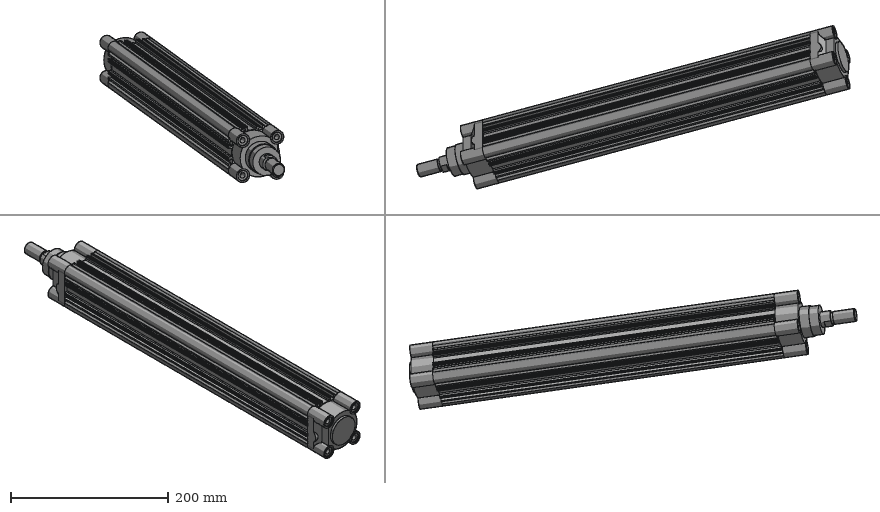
import cadquery as cq
import math

total_length = 579.0
boss_length = 3.2
cap_length = 30.0
tube_length = 446.5
guide_length = 12.0
nose_length = 12.0
collar_length = 13.5
relief_length = 3.0

tube_start = boss_length + cap_length
tube_end = tube_start + tube_length
front_face = tube_end + cap_length
nose_end = front_face + guide_length + nose_length
thread_start = nose_end + collar_length + relief_length

width = 64.0
half_width = width / 2
lobe_radius = 18.0 / 2
lobe_offset = half_width - lobe_radius
boss_radius = 40.0 / 2

cap_bulge = 54.0 / 2
cap_bulge_edge = 24.0
cap_bulge_half = 13.5
lobe_lead = 0.3
counterbore_radius = 13.5 / 2
counterbore_depth = 2.0
screw_hole_radius = 7.0 / 2
screw_hole_depth = 14.5
drill_point_angle = 118.0

pad_floor = 24.0
pad_slope_angle = 48.3
pad_crest = 19.0
port_boss_radius = 10.5
port_boss_z = -5.0
port_boss_lead = 4.0

nose_radius = 37.5 / 2

v_groove_middle = 19.0
v_groove_depth = 2.6
slot_lip = 14.5
slot_depth = 5.5
rib_outer = 10.0
rib_inner = 6.0
prong_thickness = 0.85
notch_depth = 1.0
crown_half_width = 4.9
wall_depth = 4.9
crown_rise = 0.5

rod_radius = 20.0 / 2
rod_seat_depth = 35.0
flat_offset = 17.0 / 2
flat_start = 4.5
relief_radius = 14.0 / 2
thread_radius = 17.0 / 2
thread_chamfer = 1.0


def x_cylinder(start, length, radius):
    """Cylinder on the X axis."""
    return cq.Workplane("YZ").workplane(offset=start).circle(radius).extrude(length)


def at_lobes(workplane):
    """The four lobe centres."""
    return workplane.rect(2 * lobe_offset, 2 * lobe_offset, forConstruction=True).vertices()


def cap_core():
    """Block with three bulged sides and a flat +Y side."""
    low = cap_bulge_edge
    half = cap_bulge_half
    top = cap_bulge
    return (
        cq.Workplane("YZ").workplane(offset=boss_length + lobe_lead)
        .moveTo(-half, low).threePointArc((0, top), (half, low))
        .lineTo(pad_floor, half).lineTo(pad_floor, -half)
        .lineTo(half, -low).threePointArc((0, -top), (-half, -low))
        .lineTo(-low, -half).threePointArc((-top, 0), (-low, half))
        .close().extrude(cap_length - lobe_lead)
    )


def port_pad():
    """Pad flush with the lobes, with a sloped end and a round port boss."""
    crest_x = boss_length + pad_crest
    rise = half_width - pad_floor
    foot_x = crest_x - rise / math.tan(math.radians(pad_slope_angle))
    pad = (
        cq.Workplane("XY").workplane(offset=-lobe_offset)
        .moveTo(foot_x, pad_floor).lineTo(crest_x, half_width)
        .lineTo(tube_start, half_width).lineTo(tube_start, pad_floor)
        .close().extrude(2 * lobe_offset)
    )
    boss_x = crest_x - port_boss_lead + port_boss_radius
    boss = (
        cq.Workplane("XZ", origin=(boss_x, half_width, port_boss_z))
        .circle(port_boss_radius).extrude(rise)
    )
    beyond_cap = cq.Workplane("XY").box(width, width, width).translate((tube_start + half_width, 0, 0))
    return pad.union(boss.cut(beyond_cap))


def screw_hole_cutter():
    """Counterbored blind hole with a drill point, along the X axis from the origin."""
    point = screw_hole_radius / math.tan(math.radians(drill_point_angle / 2))
    return (
        cq.Workplane("XY")
        .lineTo(0, counterbore_radius)
        .lineTo(counterbore_depth, counterbore_radius)
        .lineTo(counterbore_depth, screw_hole_radius)
        .lineTo(screw_hole_depth, screw_hole_radius)
        .lineTo(screw_hole_depth + point, 0)
        .close().revolve(360, (0, 0, 0), (1, 0, 0))
    )


def end_cap():
    """Cap body as it stands at the rear end, without boss or nose."""
    lobes = at_lobes(cq.Workplane("YZ").workplane(offset=boss_length)).circle(lobe_radius).extrude(cap_length)
    cap = cap_core().union(lobes).union(port_pad())
    hole = screw_hole_cutter()
    for y in (-lobe_offset, lobe_offset):
        for z in (-lobe_offset, lobe_offset):
            cap = cap.cut(hole.translate((boss_length, y, z)))
    return cap


def build_rear_cap():
    return end_cap().union(x_cylinder(0, tube_start, boss_radius))


def build_front_cap():
    middle = (tube_start + tube_end) / 2
    cap = end_cap().mirror("YZ", (middle, 0, 0))
    cap = cap.union(x_cylinder(tube_end, cap_length + guide_length, boss_radius))
    cap = cap.union(x_cylinder(tube_end, nose_end - tube_end, nose_radius))
    return cap.cut(x_cylinder(nose_end - rod_seat_depth, rod_seat_depth, rod_radius))


side_half = [
    (21.5, 0.0),
    (v_groove_middle, v_groove_depth),
    (17.0, 0.0),
    (slot_lip, 0.0),
    (slot_lip, 3.75),
    (15.0, slot_depth),
    (9.0, slot_depth),
    (8.0, 4.35),
    (rib_outer, 2.0),
    (rib_outer, 0.0),
    (rib_outer - prong_thickness, 0.0),
    (rib_outer - prong_thickness, notch_depth),
    (rib_inner + prong_thickness, notch_depth),
    (rib_inner + prong_thickness, 0.0),
    (rib_inner, 0.0),
    (rib_inner, 3.2),
    (crown_half_width, wall_depth),
]


def build_tube():
    """Extruded tube with the same finned profile on all four sides."""
    falling = [(u, half_width - depth) for u, depth in reversed(side_half)]
    rising = [(-u, height) for u, height in reversed(falling)]
    crown = (0, half_width - wall_depth + crown_rise)
    arc_half = lobe_radius * math.sqrt(0.5)
    outline = cq.Workplane("YZ").workplane(offset=tube_start).moveTo(*rising[0])
    for quarter in range(4):
        c = round(math.cos(quarter * math.pi / 2))
        s = round(math.sin(quarter * math.pi / 2))

        def turn(u, h):
            return (c * u + s * h, c * h - s * u)

        for point in rising[1:]:
            outline = outline.lineTo(*turn(*point))
        outline = outline.threePointArc(turn(*crown), turn(*falling[0]))
        for point in falling[1:]:
            outline = outline.lineTo(*turn(*point))
        outline = outline.lineTo(*turn(lobe_offset, half_width))
        outline = outline.threePointArc(
            turn(lobe_offset + arc_half, lobe_offset + arc_half), turn(half_width, lobe_offset)
        )
        outline = outline.lineTo(*turn(half_width, -rising[0][0]))
    return outline.close().extrude(tube_length)


def build_rod():
    rod = x_cylinder(nose_end - rod_seat_depth, rod_seat_depth + collar_length, rod_radius)
    relief = x_cylinder(nose_end + collar_length, relief_length, relief_radius)
    thread = x_cylinder(thread_start, total_length - thread_start, thread_radius)
    thread = thread.faces(">X").chamfer(thread_chamfer)
    flat_length = collar_length - flat_start
    for side in (-1, 1):
        cutter = cq.Workplane("XY").box(flat_length, width, width).translate(
            (nose_end + flat_start + flat_length / 2, 0, side * (flat_offset + half_width))
        )
        rod = rod.cut(cutter)
    return rod.union(relief).union(thread)


rear_cap = build_rear_cap()
tube = build_tube()
front_cap = build_front_cap()
rod = build_rod()

result = cq.Compound.makeCompound([rear_cap.val(), tube.val(), front_cap.val(), rod.val()])